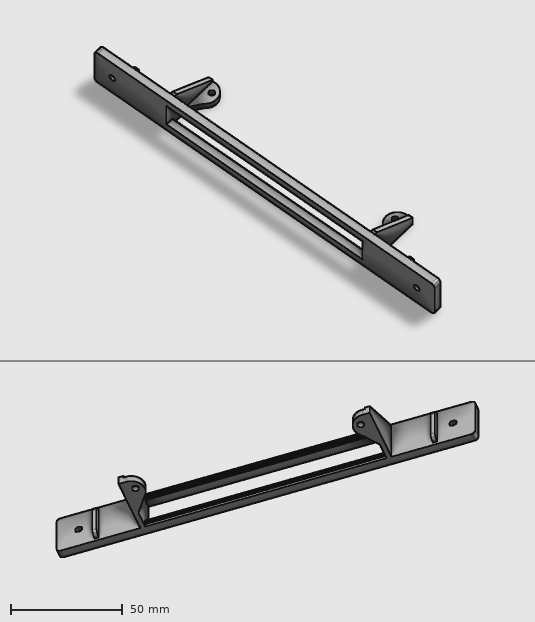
import cadquery as cq
import math

length = 199.8
height = 22.2
plate_thickness = 4.2
corner_radius = 2.0
mid_height = height / 2

window_length = 115.0
window_height = 13.8
band_thickness = 0.4
band_height = 19.0
band_opening_height = 16.0

screw_hole_diameter = 3.4
screw_hole_x = 89.3

rib_thickness = 2.0
rib_x = 80.7
rib_back = 7.2
rib_height = 19.0
rib_corner_radius = 3.0

total_depth = 32.0
bracket_thickness = 2.4
bracket_root_height = 20.2
bracket_bend_height = 19.5
bracket_tip_height = 4.5
bracket_inner_x = window_length / 2

ear_thickness = 3.5
ear_radius = 6.5
ear_center_offset = 1.2
ear_flank_angle = -53.0
ear_root_y = 12.8
ear_hole_diameter = 3.0
ear_hole_offset = 3.8
ear_hole_y = 26.8


def back_box(x_size, z_size, y_start, y_end):
    """Box centred on the plate in X and Z."""
    return (
        cq.Workplane("XY")
        .box(x_size, y_end - y_start, z_size)
        .translate((0, (y_start + y_end) / 2, mid_height))
    )


def make_plate():
    plate = back_box(length, height, 0, plate_thickness).edges("|Y").fillet(corner_radius)
    band = back_box(window_length, band_height, 0, plate_thickness + band_thickness)
    band = band.cut(back_box(window_length, band_opening_height, plate_thickness, total_depth))
    window = back_box(window_length, window_height, 0, total_depth)
    screw_holes = (
        cq.Workplane("XZ")
        .pushPoints([(-screw_hole_x, mid_height), (screw_hole_x, mid_height)])
        .circle(screw_hole_diameter / 2)
        .extrude(-plate_thickness)
    )
    return plate.union(band).cut(window).cut(screw_holes)


def make_rib():
    rib = back_box(rib_thickness, rib_height, plate_thickness / 2, rib_back)
    return rib.edges("|X and >Y").fillet(rib_corner_radius).translate((-rib_x, 0, 0))


def make_bracket():
    return (
        cq.Workplane("YZ", origin=(-bracket_inner_x, 0, 0))
        .moveTo(plate_thickness / 2, 0)
        .lineTo(total_depth, 0)
        .lineTo(total_depth, bracket_tip_height)
        .lineTo(rib_back, bracket_bend_height)
        .lineTo(plate_thickness / 2, bracket_root_height)
        .close()
        .extrude(-bracket_thickness)
    )


def make_ear():
    buried_x = -bracket_inner_x - bracket_thickness / 2
    center_x = -bracket_inner_x + ear_center_offset
    center_y = total_depth - ear_radius
    flank_start = math.radians(ear_flank_angle)
    flank_point = (center_x + ear_radius * math.cos(flank_start), center_y + ear_radius * math.sin(flank_start))
    ear = (
        cq.Workplane("XY")
        .moveTo(buried_x, ear_root_y)
        .lineTo(buried_x, total_depth)
        .lineTo(center_x, total_depth)
        .threePointArc((center_x + ear_radius, center_y), flank_point)
        .lineTo(-bracket_inner_x, ear_root_y)
        .close()
        .extrude(ear_thickness)
    )
    hole = (
        cq.Workplane("XY")
        .center(-bracket_inner_x + ear_hole_offset, ear_hole_y)
        .circle(ear_hole_diameter / 2)
        .extrude(ear_thickness)
    )
    return ear.cut(hole)


left_fittings = make_bracket().union(make_ear())
result = make_plate()
for fitting in (left_fittings, make_rib()):
    result = result.union(fitting).union(fitting.mirror("YZ"))